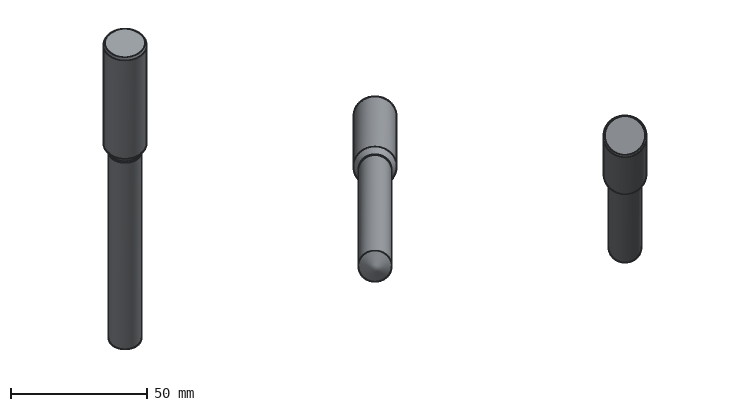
import cadquery as cq
import math

total_length = 158.0
shank_diameter = 16.0
cutter_diameter = 12.3
point_angle = 120.0
taper_half_angle = 30.0
shank_length = 52.6
collar_height = 1.0
top_chamfer_width = 0.6
top_chamfer_height = 1.1

shank_radius = shank_diameter / 2
cutter_radius = cutter_diameter / 2
point_height = cutter_radius / math.tan(math.radians(point_angle / 2))
taper_height = (shank_radius - cutter_radius) / math.tan(math.radians(taper_half_angle))
taper_top = total_length - shank_length
taper_bottom = taper_top - taper_height
joint_height = taper_bottom - collar_height


def revolve_profile(points):
    """Turn a closed (radius, height) outline about the Z axis."""
    return (
        cq.Workplane("XZ")
        .polyline(points)
        .close()
        .revolve(360, (0, 0, 0), (0, 1, 0))
    )


def make_shank():
    """Chamfered shank with the taper and collar that meet the cutter."""
    return revolve_profile([
        (0, joint_height),
        (cutter_radius, joint_height),
        (cutter_radius, taper_bottom),
        (shank_radius, taper_top),
        (shank_radius, total_length - top_chamfer_height),
        (shank_radius - top_chamfer_width, total_length),
        (0, total_length),
    ])


def make_cutter():
    """Plain cylindrical cutting part with a conical point."""
    return revolve_profile([
        (0, 0),
        (cutter_radius, point_height),
        (cutter_radius, joint_height),
        (0, joint_height),
    ])


shank = make_shank()
cutter = make_cutter()

result = cq.Compound.makeCompound([shank.val(), cutter.val()])